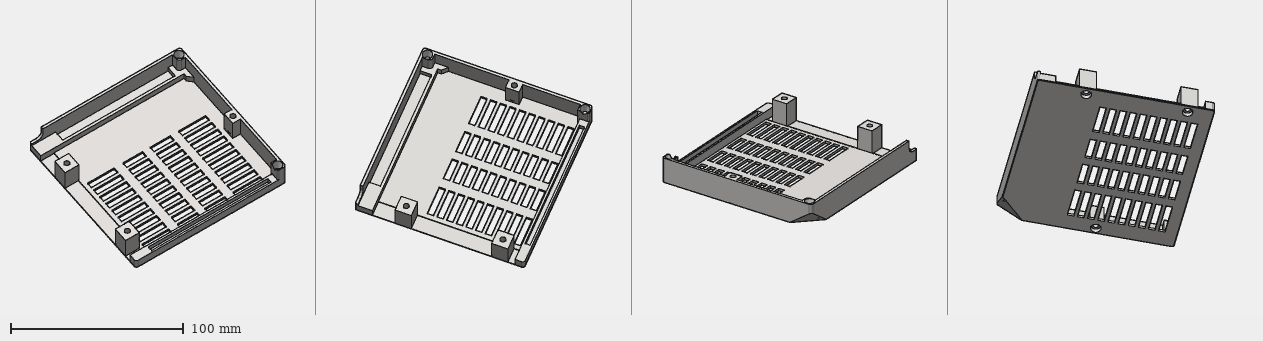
import cadquery as cq

LENGTH_X = 105.5
LENGTH_Y = 107.0
HEIGHT = 16.0

WALL = 1.8
FLOOR = 1.6
FRONT_STEP_FLOOR = 1.1
FRONT_STEP_DEPTH = 9.4
CORNER_RADIUS = 1.6
SMALL_RADIUS = 0.9
BOTTOM_CHAMFER = 0.4

CORNER_CUT_RUN = 15.7
CORNER_CUT_RISE = 11.0

LEDGE_WIDTH = 10.8
LEDGE_HEIGHT = 6.1
LEDGE_FOOT_INSET = 5.0
LEDGE_FOOT_WIDTH = 13.1

RAIL_WIDTH = 5.8
RAIL_HEIGHT = 6.8

POCKET_DEPTH = 3.2
POCKET_BACK = 97.0
LEDGE_POCKET_FRONT = 17.0
LEDGE_POCKET_WIDTH = 7.2
RAIL_GROOVE_FRONT = 12.1
RAIL_GROOVE_WIDTH = 3.2
RAIL_GROOVE_X = 101.1

LEFT_POST_X = 7.7
LEFT_POST_Y = 6.7
LEFT_POST_RADIUS = 2.1
RIGHT_POST_X = 7.1
RIGHT_POST_Y = 5.9
SOCKET_XS = (3.9, LENGTH_X - 3.4)
SOCKET_Y = LENGTH_Y - 3.6
SOCKET_DIAMETER = 6.0
SOCKET_END_DIAMETER = 2.6
SOCKET_DEPTH = 4.8

SCREW_DIAMETER = 3.4
SCREW_HEAD_DIAMETER = 6.0
SCREW_HEAD_DEPTH = 2.9
FRONT_BOSS_WIDTH = 10.2
FRONT_BOSS_DEPTH = 9.8
FRONT_SCREW_Y = FRONT_BOSS_DEPTH / 2
FRONT_SCREW_XS = (30.0, 90.2)
BACK_BOSS_WIDTH = 8.6
BACK_BOSS_DEPTH = 7.3
BACK_SCREW_X = 58.2
BACK_SCREW_Y = LENGTH_Y - 4.1

SLOT_COUNT = 10
SLOT_WIDTH = 3.9
FIRST_SLOT_X = 39.9
LAST_SLOT_X = 94.2
SLOT_PITCH = (LAST_SLOT_X - FIRST_SLOT_X) / (SLOT_COUNT - 1)
SLOT_ROWS = ((12.5, 18.9), (37.7, 14.0), (57.1, 14.3), (77.3, 19.4))

NOTCH_LENGTH = 8.0
NOTCH_HEIGHT = 7.7
NOTCH_RADIUS = 4.0


def block(x0, x1, y0, y1, z0, z1):
    """Box given by its limits along each axis."""
    return cq.Workplane("XY").box(x1 - x0, y1 - y0, z1 - z0, centered=False).translate((x0, y0, z0))


def outer_block():
    """Solid outline with rounded corners and a chamfered bottom edge."""
    body = block(0, LENGTH_X, 0, LENGTH_Y, 0, HEIGHT)
    body = body.edges("|Z and (>X or >Y)").fillet(CORNER_RADIUS)
    body = body.edges("|Z and <X and <Y").fillet(SMALL_RADIUS)
    return body.faces("<Z").chamfer(BOTTOM_CHAMFER)


def interior():
    """Space above the floor, open to the front and above the right rail."""
    rail_x = LENGTH_X - RAIL_WIDTH
    back_y = LENGTH_Y - WALL
    main = block(WALL, rail_x, FRONT_STEP_DEPTH, back_y, FLOOR, HEIGHT)
    front_step = block(WALL, rail_x, 0, FRONT_STEP_DEPTH, FRONT_STEP_FLOOR, HEIGHT)
    above_rail = block(rail_x, LENGTH_X, 0, back_y, RAIL_HEIGHT, HEIGHT)
    return main.union(front_step).union(above_rail)


def left_ledge():
    """Ledge with a foot that runs to the back wall at 45 degrees."""
    foot_y = LENGTH_Y - LEDGE_FOOT_INSET
    back_y = LENGTH_Y - WALL
    diagonal_run = back_y - foot_y
    outline = [
        (WALL, 0),
        (LEDGE_WIDTH, 0),
        (LEDGE_WIDTH, foot_y),
        (LEDGE_FOOT_WIDTH, foot_y),
        (LEDGE_FOOT_WIDTH + diagonal_run, back_y),
        (WALL, back_y),
    ]
    ledge_base = BOTTOM_CHAMFER
    ledge = cq.Workplane("XY").workplane(offset=ledge_base).polyline(outline).close()
    return ledge.extrude(LEDGE_HEIGHT - ledge_base)


def long_pockets():
    """Pocket in the ledge and groove in the rail, equally deep."""
    pocket_floor = LEDGE_HEIGHT - POCKET_DEPTH
    pocket_end_x = WALL + LEDGE_POCKET_WIDTH
    pocket = block(WALL, pocket_end_x, LEDGE_POCKET_FRONT, POCKET_BACK, pocket_floor, LEDGE_HEIGHT)
    groove_floor = RAIL_HEIGHT - POCKET_DEPTH
    groove_end_x = RAIL_GROOVE_X + RAIL_GROOVE_WIDTH
    groove = block(RAIL_GROOVE_X, groove_end_x, RAIL_GROOVE_FRONT, POCKET_BACK, groove_floor, RAIL_HEIGHT)
    return pocket.union(groove)


def corner_posts():
    """Posts in the two back corners."""
    left = block(0, LEFT_POST_X, LENGTH_Y - LEFT_POST_Y, LENGTH_Y, FLOOR, HEIGHT)
    left = left.edges("|Z and >X and <Y").fillet(LEFT_POST_RADIUS)
    left = left.edges("|Z and <X and >Y").fillet(CORNER_RADIUS)
    right = block(LENGTH_X - RIGHT_POST_X, LENGTH_X, LENGTH_Y - RIGHT_POST_Y, LENGTH_Y, FLOOR, HEIGHT)
    right = right.edges("|Z and >X and <Y").fillet(SMALL_RADIUS)
    right = right.edges("|Z and >X and >Y").fillet(CORNER_RADIUS)
    return left.union(right)


def sockets():
    """Conical sockets that narrow downwards from the top of the posts."""
    cones = cq.Workplane("XY")
    for x in SOCKET_XS:
        cone = cq.Solid.makeCone(
            SOCKET_DIAMETER / 2,
            SOCKET_END_DIAMETER / 2,
            SOCKET_DEPTH,
            pnt=cq.Vector(x, SOCKET_Y, HEIGHT),
            dir=cq.Vector(0, 0, -1),
        )
        cones = cones.add(cone)
    return cones.combine()


def screw_bosses():
    """Two bosses on the front edge and one on the back wall."""
    back_x0 = BACK_SCREW_X - BACK_BOSS_WIDTH / 2
    back_y1 = LENGTH_Y - WALL
    base = BOTTOM_CHAMFER
    bosses = block(back_x0, back_x0 + BACK_BOSS_WIDTH, LENGTH_Y - BACK_BOSS_DEPTH, back_y1, base, HEIGHT)
    for x in FRONT_SCREW_XS:
        x0 = x - FRONT_BOSS_WIDTH / 2
        bosses = bosses.union(block(x0, x0 + FRONT_BOSS_WIDTH, 0, FRONT_BOSS_DEPTH, base, HEIGHT))
    return bosses


def screw_holes():
    """Through holes with head recesses from below."""
    centres = [(x, FRONT_SCREW_Y) for x in FRONT_SCREW_XS]
    centres.append((BACK_SCREW_X, BACK_SCREW_Y))
    sketch = cq.Workplane("XY").pushPoints(centres)
    shanks = sketch.circle(SCREW_DIAMETER / 2).extrude(HEIGHT)
    heads = sketch.circle(SCREW_HEAD_DIAMETER / 2).extrude(SCREW_HEAD_DEPTH)
    return shanks.union(heads)


def vent_slots():
    """Grid of rectangular slots through the floor."""
    slots = cq.Workplane("XY")
    for front_y, length in SLOT_ROWS:
        for column in range(SLOT_COUNT):
            x = FIRST_SLOT_X + column * SLOT_PITCH
            slots = slots.add(block(x, x + SLOT_WIDTH, front_y, front_y + length, 0, FLOOR))
    return slots.combine()


def wall_notch():
    """Cutter that lowers the front end of the left wall, rounded at its inner bottom corner."""
    notch = block(0, WALL, 0, NOTCH_LENGTH, NOTCH_HEIGHT, HEIGHT)
    return notch.edges("|X and >Y and <Z").fillet(NOTCH_RADIUS)


def corner_cut():
    """Pyramid over the back left bottom corner, used to slice it off."""
    corner = cq.Vector(0, LENGTH_Y, 0)
    along_x = cq.Vector(CORNER_CUT_RUN, LENGTH_Y, 0)
    along_y = cq.Vector(0, LENGTH_Y - CORNER_CUT_RUN, 0)
    up = cq.Vector(0, LENGTH_Y, CORNER_CUT_RISE)
    triangles = (
        (corner, along_x, along_y),
        (corner, along_x, up),
        (corner, along_y, up),
        (along_x, along_y, up),
    )
    faces = [cq.Face.makeFromWires(cq.Wire.makePolygon(list(t), close=True)) for t in triangles]
    return cq.Workplane(cq.Solid.makeSolid(cq.Shell.makeShell(faces)))


result = outer_block().cut(interior())
result = result.union(left_ledge()).union(corner_posts()).union(screw_bosses())
result = result.cut(long_pockets()).cut(sockets()).cut(screw_holes())
result = result.cut(vent_slots()).cut(wall_notch()).cut(corner_cut())